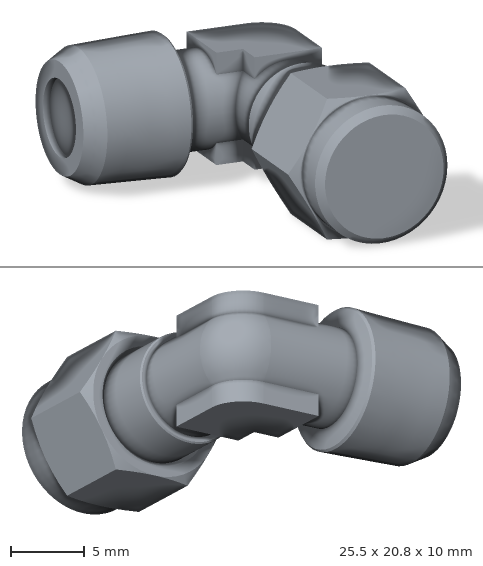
import cadquery as cq
import math

body_radius = 3.5

plate_half_width = 2.5
plate_reach = 4.46
plate_height = 8.0

male_start = 6.95
male_shoulder = 7.25
male_rim = 7.42
male_taper_end = 13.55
male_end = 14.97
male_shoulder_radius = 4.87
male_rim_radius = 5.013
male_taper_end_radius = 4.8
male_tip_radius = 4.0
male_recess_radius = 2.75
male_recess_depth = 0.5

sleeve_start = 6.65
sleeve_radius = 3.95
sleeve_chamfer = 0.1
nut_start = 10.95
nut_end = 17.9
nut_across_flats = 10.03
nut_chamfer_angle = 30
nut_countersink = 0.3
collar_radius = 4.9
collar_chamfer = 0.5
fitting_end = 20.497

nut_across_corners = nut_across_flats / math.cos(math.radians(30))


def x_cylinder(radius, start, end):
    return cq.Workplane("YZ", origin=(start, 0, 0)).circle(radius).extrude(end - start)


def make_elbow():
    leg_x = x_cylinder(body_radius, 0, nut_start)
    leg_y = cq.Workplane("XZ").circle(body_radius).extrude(male_start)
    corner = cq.Workplane("XY").sphere(body_radius)
    return leg_x.union(leg_y).union(corner)


def make_plates():
    """L-shaped block whose upper and lower ends stand out from the elbow."""
    w = plate_half_width
    outline = (
        cq.Workplane("XY", origin=(0, 0, -plate_height / 2))
        .moveTo(0, w)
        .lineTo(plate_reach, w)
        .lineTo(plate_reach, -w)
        .lineTo(w, -w)
        .lineTo(w, -plate_reach)
        .lineTo(-w, -plate_reach)
        .lineTo(-w, 0)
        .radiusArc((0, w), w)
        .close()
    )
    return outline.extrude(plate_height)


def make_male_end():
    recess_floor = male_end - male_recess_depth
    profile = [
        (0, -male_start),
        (body_radius, -male_start),
        (male_shoulder_radius, -male_shoulder),
        (male_rim_radius, -male_rim),
        (male_taper_end_radius, -male_taper_end),
        (male_tip_radius, -male_end),
        (male_recess_radius, -male_end),
        (male_recess_radius, -recess_floor),
        (0, -recess_floor),
    ]
    return cq.Workplane("XY").polyline(profile).close().revolve(360, (0, 0, 0), (0, 1, 0))


def make_nut():
    """Hexagon with corners along Y, chamfered at both ends, countersunk on the sleeve side."""
    length = nut_end - nut_start
    hexagon = cq.Workplane("YZ", origin=(nut_start, 0, 0)).polygon(6, nut_across_corners).extrude(length)
    flat_radius = nut_across_flats / 2
    corner_radius = nut_across_corners / 2
    chamfer_length = (corner_radius - flat_radius) * math.tan(math.radians(nut_chamfer_angle))
    envelope = (
        cq.Workplane("XY")
        .polyline([
            (nut_start, 0),
            (nut_start, flat_radius),
            (nut_start + chamfer_length, corner_radius),
            (nut_end - chamfer_length, corner_radius),
            (nut_end, flat_radius),
            (nut_end, 0),
        ])
        .close()
        .revolve(360, (0, 0, 0), (1, 0, 0))
    )
    countersink = (
        cq.Workplane("XY")
        .polyline([
            (nut_start, 0),
            (nut_start, sleeve_radius + nut_countersink),
            (nut_start + nut_countersink, sleeve_radius),
            (nut_start + nut_countersink, 0),
        ])
        .close()
        .revolve(360, (0, 0, 0), (1, 0, 0))
    )
    return hexagon.intersect(envelope).cut(countersink)


def make_sleeve():
    sleeve = x_cylinder(sleeve_radius, sleeve_start, nut_end)
    return sleeve.faces("<X").chamfer(sleeve_chamfer)


def make_collar():
    collar = x_cylinder(collar_radius, nut_end, fitting_end)
    return collar.faces(">X").chamfer(collar_chamfer)


result = (
    make_elbow()
    .union(make_plates())
    .union(make_male_end())
    .union(make_nut())
    .union(make_sleeve())
    .union(make_collar())
)